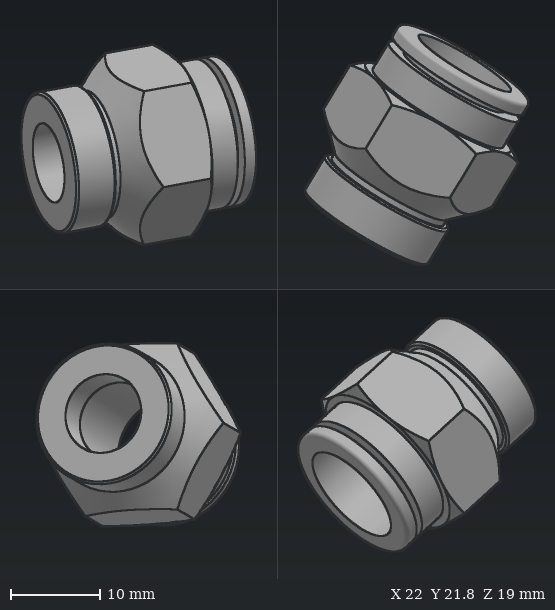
import cadquery as cq
import math

total_length = 21.8
corner_diameter = 21.95
corner_radius = corner_diameter / 2
flat_radius = corner_radius * math.cos(math.pi / 6)

spigot_radius = 8.03
spigot_length = 4.85
spigot_chamfer = 0.26
neck_radius = 7.3
neck_length = 0.77

hex_end = 15.9
corner_chamfer_angle = math.radians(30)

body_radius = 8.51
body_end = 19.4
groove_radius = 6.55
collar_length = 1.55
collar_fillet = 0.5

bore_radius = 4.5

socket_radius = 6.01
socket_start = 4.8

hex_start = spigot_length + neck_length
collar_start = total_length - collar_length


def cylinder(radius, start, end):
    """Round section about the axis between two stations."""
    return cq.Workplane("XZ", origin=(0, start, 0)).circle(radius).extrude(start - end)


def hexagon():
    """Hexagon with corners on X, trimmed by the cones at both ends."""
    prism = cq.Workplane("XZ").polygon(6, corner_diameter).extrude(-hex_end)
    cone_end = hex_start + corner_radius - neck_radius
    chamfer_start = hex_end - (corner_radius - flat_radius) * math.tan(corner_chamfer_angle)
    envelope = (
        cq.Workplane("XY")
        .moveTo(0, hex_start)
        .lineTo(neck_radius, hex_start)
        .lineTo(corner_radius, cone_end)
        .lineTo(corner_radius, chamfer_start)
        .lineTo(flat_radius, hex_end)
        .lineTo(0, hex_end)
        .close()
        .revolve(360, (0, 0, 0), (0, 1, 0))
    )
    return prism.intersect(envelope)


spigot = cylinder(spigot_radius, 0, spigot_length).edges().chamfer(spigot_chamfer)
neck = cylinder(neck_radius, 0, hex_start)
body = cylinder(body_radius, hex_end, body_end)
groove_core = cylinder(groove_radius, hex_end, collar_start)
collar = cylinder(body_radius, collar_start, total_length).edges(">Y").fillet(collar_fillet)
bore = cylinder(bore_radius, 0, total_length)

outside = hexagon().union(spigot).union(neck).union(body)
outside = outside.union(groove_core).union(collar)
socket = cylinder(socket_radius, socket_start, total_length)
result = outside.cut(bore).cut(socket).translate((0, -total_length / 2, 0))